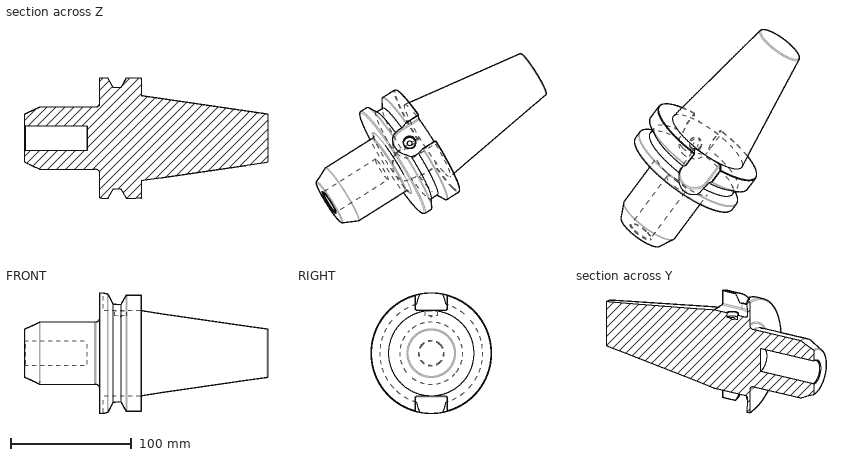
import cadquery as cq
import math

match_tolerance = 1e-4

gauge_diameter = 69.85
taper_ratio = 7 / 24
taper_length = 101.8
taper_end_fillet = 1.0

flange_diameter = 100.0
flange_rear_x = -3.0
flange_front_x = -38.0
flange_front_fillet = 1.0
flange_rear_chamfer = 0.5
groove_diameter = 85.0
groove_half_angle = 30.0
groove_front_x = -30.85
groove_rear_x = -15.65
groove_lip_fillet = 0.7

nose_length = 100.0
nose_diameter = 52.0
tip_diameter = 40.0
tip_cone_angle = 25.0
nose_fillet = 1.0

undercut_diameter = 51.8
undercut_start_x = -42.0
undercut_ramp_length = 0.5
undercut_face_depth = 0.15
undercut_fillet = 3.0
undercut_outer_diameter = 60.0

bore_diameter = 20.0
bore_depth = 52.0
bore_chamfer = 0.7

slot_width = 25.7
slot_floor_height = 35.4
slot_front_x = -34.85
slot_floor_fillet = 1.0
slot_rim_chamfer = 0.5

pocket_x = (flange_front_x + flange_rear_x) / 2
pocket_diameter = 10.0
pocket_depth = 4.0
pocket_chamfer = 0.3
pilot_diameter = 4.0
pilot_point_angle = 118.0

flange_radius = flange_diameter / 2
groove_radius = groove_diameter / 2
groove_flank = (flange_radius - groove_radius) * math.tan(math.radians(groove_half_angle))
nose_radius = nose_diameter / 2
tip_radius = tip_diameter / 2
cone_end_x = -nose_length + (nose_radius - tip_radius) / math.tan(math.radians(tip_cone_angle))
taper_end_radius = (gauge_diameter - taper_length * taper_ratio) / 2


def revolve_about_x(outline):
    """Turn a closed outline in the XY plane a full turn about the X axis."""
    return outline.revolve(360, (0, 0, 0), (1, 0, 0))


def circle_at(x, radius):
    """Return a test for the circular edge of the given radius at position x."""

    def matches(edge):
        return (
            edge.geomType() == "CIRCLE"
            and abs(edge.radius() - radius) < match_tolerance
            and abs(edge.Center().x - x) < match_tolerance
        )

    return matches


def make_body():
    """Nose, undercut, grooved flange and taper shank, with rounded edges."""
    taper_start_radius = (gauge_diameter - flange_rear_x * taper_ratio) / 2
    undercut_radius = undercut_diameter / 2
    undercut_face_x = flange_front_x + undercut_face_depth
    arc_center_x = undercut_face_x - undercut_fillet
    arc_center_radius = undercut_radius + undercut_fillet
    arc_middle = undercut_fillet * math.sqrt(0.5)

    outline = (
        cq.Workplane("XY")
        .moveTo(-nose_length, 0)
        .lineTo(-nose_length, tip_radius)
        .lineTo(cone_end_x, nose_radius)
        .lineTo(undercut_start_x, nose_radius)
        .lineTo(undercut_start_x + undercut_ramp_length, undercut_radius)
        .lineTo(arc_center_x, undercut_radius)
        .threePointArc(
            (arc_center_x + arc_middle, arc_center_radius - arc_middle),
            (undercut_face_x, arc_center_radius),
        )
        .lineTo(flange_front_x, undercut_outer_diameter / 2)
        .lineTo(flange_front_x, flange_radius)
        .lineTo(groove_front_x, flange_radius)
        .lineTo(groove_front_x + groove_flank, groove_radius)
        .lineTo(groove_rear_x - groove_flank, groove_radius)
        .lineTo(groove_rear_x, flange_radius)
        .lineTo(flange_rear_x - flange_rear_chamfer, flange_radius)
        .lineTo(flange_rear_x, flange_radius - flange_rear_chamfer)
        .lineTo(flange_rear_x, taper_start_radius)
        .lineTo(taper_length, taper_end_radius)
        .lineTo(taper_length, 0)
        .close()
    )
    body = revolve_about_x(outline)

    rounded_edges = [
        (-nose_length, tip_radius, nose_fillet),
        (cone_end_x, nose_radius, nose_fillet),
        (flange_front_x, flange_radius, flange_front_fillet),
        (groove_front_x, flange_radius, groove_lip_fillet),
        (groove_rear_x, flange_radius, groove_lip_fillet),
        (taper_length, taper_end_radius, taper_end_fillet),
    ]
    for x, radius, fillet_radius in rounded_edges:
        body = body.edges().filter(circle_at(x, radius)).fillet(fillet_radius)
    return body


def make_bore():
    """Blind tool bore with a chamfered mouth."""
    bore_radius = bore_diameter / 2
    bore_end_x = -nose_length + bore_depth
    return revolve_about_x(
        cq.Workplane("XY")
        .moveTo(-nose_length, 0)
        .lineTo(-nose_length, bore_radius + bore_chamfer)
        .lineTo(-nose_length + bore_chamfer, bore_radius)
        .lineTo(bore_end_x, bore_radius)
        .lineTo(bore_end_x, 0)
        .close()
    )


def make_slot():
    """Cutter for the +Z drive slot: round front end, rounded floor edge, flared rear, bevelled rear rim."""
    half_width = slot_width / 2
    arc_center_x = slot_front_x + half_width
    flare_start_x = flange_rear_x - slot_rim_chamfer
    slot_height = flange_radius - slot_floor_height
    channel = (
        cq.Workplane("XY", origin=(0, 0, slot_floor_height))
        .moveTo(flange_rear_x, -half_width)
        .lineTo(arc_center_x, -half_width)
        .threePointArc((slot_front_x, 0), (arc_center_x, half_width))
        .lineTo(flange_rear_x, half_width)
        .close()
        .extrude(slot_height)
        .edges("<Z")
        .edges("not(>X)")
        .fillet(slot_floor_fillet)
    )
    rear_flare = (
        cq.Workplane("XY", origin=(0, 0, slot_floor_height + slot_floor_fillet))
        .moveTo(flare_start_x, -half_width)
        .lineTo(flange_rear_x, -half_width - slot_rim_chamfer)
        .lineTo(flange_rear_x, half_width + slot_rim_chamfer)
        .lineTo(flare_start_x, half_width)
        .close()
        .extrude(slot_height - slot_floor_fillet)
    )
    rim_height = math.sqrt(flange_radius**2 - half_width**2)
    bevel_bottom = rim_height - slot_rim_chamfer
    bevel_reach = flange_radius - bevel_bottom
    rim_bevel = (
        cq.Workplane("YZ", origin=(flange_rear_x, 0, 0))
        .moveTo(-half_width, bevel_bottom)
        .lineTo(half_width, bevel_bottom)
        .lineTo(half_width + bevel_reach, flange_radius)
        .lineTo(-half_width - bevel_reach, flange_radius)
        .close()
        .extrude(arc_center_x - flange_rear_x)
    )
    return channel.union(rear_flare).union(rim_bevel)


def make_slot_hole():
    """Chamfered flat pocket in the +Z slot floor with a conical centre hole in its bottom."""
    pocket_radius = pocket_diameter / 2
    pilot_radius = pilot_diameter / 2
    pocket_bottom = slot_floor_height - pocket_depth
    cone_depth = pilot_radius / math.tan(math.radians(pilot_point_angle / 2))
    return (
        cq.Workplane("XZ", origin=(pocket_x, 0, 0))
        .moveTo(0, slot_floor_height)
        .lineTo(pocket_radius + pocket_chamfer, slot_floor_height)
        .lineTo(pocket_radius, slot_floor_height - pocket_chamfer)
        .lineTo(pocket_radius, pocket_bottom)
        .lineTo(pilot_radius, pocket_bottom)
        .lineTo(0, pocket_bottom - cone_depth)
        .close()
        .revolve(360, (0, 0, 0), (0, 1, 0))
    )


top_slot = make_slot()
bottom_slot = top_slot.rotate((0, 0, 0), (1, 0, 0), 180)
result = make_body().cut(make_bore()).cut(top_slot).cut(bottom_slot).cut(make_slot_hole())